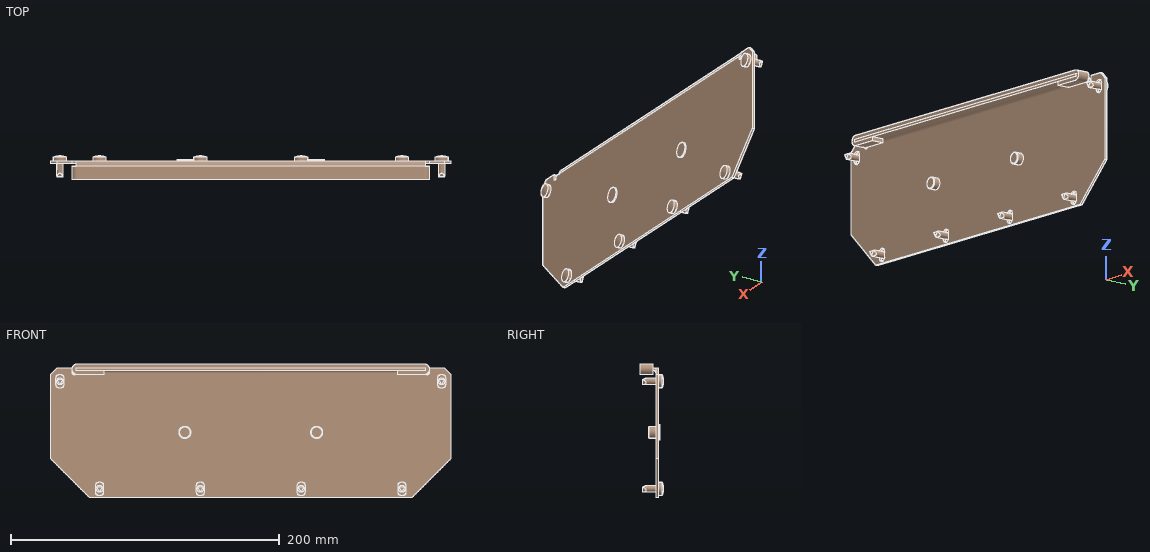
import cadquery as cq
import math

plate_length = 298.0
plate_height = 96.5
sheet = 2.0
top_chamfer = 5.0
bottom_chamfer = 29.0

bend_inner_radius = 2.0
bend_outer_radius = bend_inner_radius + sheet
flange_reach = 12.0
flange_half_length = 130.0
relief_width = 2.8

trim_wall = 3.0
trim_height = sheet + 2 * trim_wall
trim_radius = trim_height / 2
trim_half_length = 133.0
trim_lip_length = 20.0
trim_back = -bend_inner_radius
trim_depth = flange_reach - bend_inner_radius
flange_top = plate_height
flange_bottom = flange_top - sheet
trim_bottom = flange_bottom - trim_wall
trim_top = flange_top + trim_wall
trim_middle = (trim_top + trim_bottom) / 2

screw_diameter = 5.0
screw_length = 12.0
head_diameter = 10.0
head_height = 3.84
head_rim_height = 2.7
tip_length = 2.8
tip_facet_count = 3
tip_inradius = screw_diameter / 4
slot_width = 6.2
slot_height = 10.0
bottom_screw_pitch = 75.0
bottom_screw_count = 4
bottom_screw_z = 6.5
top_screw_z = 86.5
top_screw_edge_distance = 7.0

stud_diameter = 9.0
stud_reach = 5.5
stud_chamfer = 0.5
stud_flange_diameter = 11.6
stud_flange_thickness = 1.0
stud_spacing = 98.0
stud_z = 48.5

top_screw_x = plate_length / 2 - top_screw_edge_distance
bottom_screw_xs = [
    (i - (bottom_screw_count - 1) / 2) * bottom_screw_pitch for i in range(bottom_screw_count)
]
screw_places = [(x, bottom_screw_z) for x in bottom_screw_xs]
screw_places += [(-top_screw_x, top_screw_z), (top_screw_x, top_screw_z)]
stud_places = [(-stud_spacing / 2, stud_z), (stud_spacing / 2, stud_z)]


def front_plane(y):
    """Workplane facing -Y at the given y, with local x = X and local y = Z."""
    return cq.Workplane("XZ", origin=(0, y, 0))


def make_flange():
    """Bent strip from the plate's bend line up and forward to the flange edge."""
    bend_start = flange_top - bend_outer_radius
    bend_sine = math.sin(math.radians(45))
    outer_mid = (
        sheet - bend_outer_radius + bend_outer_radius * bend_sine,
        bend_start + bend_outer_radius * bend_sine,
    )
    inner_mid = (
        -bend_inner_radius + bend_inner_radius * bend_sine,
        bend_start + bend_inner_radius * bend_sine,
    )
    return (
        cq.Workplane("YZ", origin=(-flange_half_length, 0, 0))
        .moveTo(0, bend_start)
        .lineTo(sheet, bend_start)
        .threePointArc(outer_mid, (-bend_inner_radius, flange_top))
        .lineTo(-flange_reach, flange_top)
        .lineTo(-flange_reach, flange_bottom)
        .lineTo(-bend_inner_radius, flange_bottom)
        .threePointArc(inner_mid, (0, bend_start))
        .close()
        .extrude(2 * flange_half_length)
    )


def make_plate():
    blank = (
        cq.Workplane("XY")
        .box(plate_length, sheet, plate_height, centered=(True, False, False))
    )
    blank = blank.edges("|Y and >Z").chamfer(top_chamfer)
    blank = blank.edges("|Y and <Z").chamfer(bottom_chamfer)

    bend_gap = (
        cq.Workplane("XY", origin=(0, 0, flange_top - bend_outer_radius))
        .box(2 * flange_half_length, sheet, bend_outer_radius, centered=(True, False, False))
    )
    relief_x = flange_half_length + relief_width / 2
    relief_round_z = trim_bottom + relief_width / 2
    reliefs = (
        front_plane(sheet)
        .pushPoints([(-relief_x, relief_round_z), (relief_x, relief_round_z)])
        .circle(relief_width / 2)
        .extrude(sheet)
    )
    reliefs = reliefs.union(
        cq.Workplane("XY", origin=(0, 0, relief_round_z))
        .pushPoints([(-relief_x, 0), (relief_x, 0)])
        .box(relief_width, sheet, trim_height, centered=(True, False, False))
    )
    slots = front_plane(sheet).pushPoints(screw_places).slot2D(slot_height, slot_width, 90).extrude(sheet)
    stud_holes = front_plane(sheet).pushPoints(stud_places).circle(stud_diameter / 2).extrude(sheet)
    return blank.cut(bend_gap).union(make_flange()).cut(reliefs).cut(slots).cut(stud_holes)


def make_trim():
    """Strip above the flange, wrapped round both ends into short lips below it."""
    straight = trim_half_length - trim_radius
    body = (
        front_plane(trim_back)
        .moveTo(-straight, trim_top)
        .lineTo(straight, trim_top)
        .threePointArc((trim_half_length, trim_middle), (straight, trim_bottom))
        .lineTo(-straight, trim_bottom)
        .threePointArc((-trim_half_length, trim_middle), (-straight, trim_top))
        .close()
        .extrude(trim_depth)
    )
    flange_space = (
        front_plane(trim_back)
        .center(0, trim_middle)
        .rect(2 * flange_half_length, sheet)
        .extrude(trim_depth)
    )
    lip_gap = (
        front_plane(trim_back)
        .center(0, trim_bottom + trim_wall / 2)
        .rect(2 * (straight - trim_lip_length), trim_wall)
        .extrude(trim_depth)
    )
    return body.cut(flange_space).cut(lip_gap)


def make_screw(x, z):
    """Screw with a domed head behind the plate and a three-sided tapered tip."""
    head_radius = head_diameter / 2
    rim_y = sheet + head_rim_height
    crown_y = sheet + head_height
    dome_rise = head_height - head_rim_height
    dome_radius = (head_radius**2 + dome_rise**2) / (2 * dome_rise)
    half_angle = math.asin(head_radius / dome_radius) / 2
    dome_mid = (
        dome_radius * math.sin(half_angle),
        crown_y - dome_radius * (1 - math.cos(half_angle)),
    )
    head = (
        cq.Workplane("XY")
        .moveTo(0, sheet)
        .lineTo(head_radius, sheet)
        .lineTo(head_radius, rim_y)
        .threePointArc(dome_mid, (0, crown_y))
        .close()
        .revolve(360, (0, 0, 0), (0, 1, 0))
    )
    shank = front_plane(sheet).circle(screw_diameter / 2).extrude(screw_length)

    tip_end = sheet - screw_length
    radius = screw_diameter / 2
    wedge = (
        cq.Workplane("YZ")
        .moveTo(tip_end, tip_inradius)
        .lineTo(tip_end, radius)
        .lineTo(tip_end + tip_length, radius)
        .close()
        .extrude(radius, both=True)
    )
    for i in range(tip_facet_count):
        shank = shank.cut(wedge.rotate((0, 0, 0), (0, 1, 0), i * 360 / tip_facet_count))
    return head.union(shank).translate((x, 0, z))


def make_stud(x, z):
    """Round stud through the plate, with its thin flange against the back face."""
    shaft = front_plane(sheet).circle(stud_diameter / 2).extrude(sheet + stud_reach)
    shaft = shaft.faces("<Y").edges().chamfer(stud_chamfer)
    flange = front_plane(sheet).circle(stud_flange_diameter / 2).extrude(-stud_flange_thickness)
    return shaft.union(flange).translate((x, 0, z))


plate = make_plate()
trim = make_trim()
screws = [make_screw(x, z) for x, z in screw_places]
studs = [make_stud(x, z) for x, z in stud_places]

result = cq.Compound.makeCompound(
    [plate.val(), trim.val(), *[screw.val() for screw in screws], *[stud.val() for stud in studs]]
)